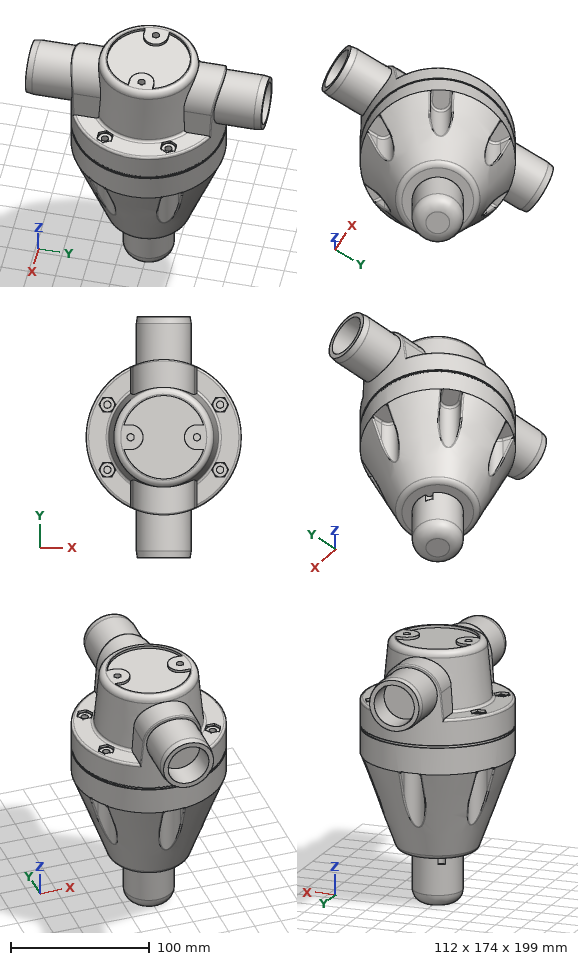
import cadquery as cq
import math

TOP_Z = 199
PORT_Z = 171.7
FLANGE_TOP_Z = 153.8
GROOVE_TOP_Z = 134.0
GROOVE_BOTTOM_Z = 132.1
CONE_TOP_Z = 112.0
CONE_BOTTOM_Z = 40.2

FLANGE_DIAMETER = 112.0
FLANGE_R = FLANGE_DIAMETER / 2
FLANGE_FILLET = 1.8
GROOVE_R = 55.1

TOWER_BASE_R = 39.6
TOWER_SHOULDER_R = 36.0
TOWER_RIM_FILLET = 5.0
TOWER_BASE_FILLET = 2
RECESS_R = 30.0
RECESS_DEPTH = 2
TAB_OFFSET = 23.9
TAB_R = 9.0
TAB_HOLE_R = 2.5
TAB_HOLE_DEPTH = 6

ARCH_R = 22.3
ARCH_DRAFT = math.radians(5)
ARCH_EDGE_FILLET = 1.0
PIPE_LENGTH = 174.0
PIPE_R = 19.9
PIPE_END_R = 19.1
PIPE_END_LENGTH = 5.0
BORE_R = 15.5
BORE_DEPTH = 19.9

SCREW_CIRCLE_R = 47.0
SCREW_ANGLES = (30, 150, 210, 330)
SCREW_HEX_FLATS = 10.5
SCREW_HEX_DEPTH = 2
SCREW_FLOOR_R = 5.2
SCREW_FLOOR_SLOPE = math.radians(30)
SCREW_HOLE_R = 2.5
SCREW_HOLE_DEPTH = 8

CONE_BOTTOM_R = 29.3
CONE_FILLET = 5.0
FLUTE_COUNT = 6
FLUTE_R = 7.8
FLUTE_FLOOR_R = 39.2
FLUTE_TOP_Z = 112.5
FLUTE_TOP_FILLET = 1.5
FLUTE_RIM_FILLET = 1.0

STEM_R = 18.5
STEM_FILLET = 10
KEYWAY_R = 2.8
KEYWAY_ANGLE = 120
KEYWAY_LENGTH = 7.0


def cylinder(radius, bottom_z, top_z):
    return cq.Workplane("XY", origin=(0, 0, bottom_z)).circle(radius).extrude(top_z - bottom_z)


def frustum(bottom_r, top_r, bottom_z, top_z):
    base = cq.Workplane("XY", origin=(0, 0, bottom_z)).circle(bottom_r)
    return base.workplane(offset=top_z - bottom_z).circle(top_r).loft(ruled=True)


def make_tower():
    rim_start_z = TOP_Z - TOWER_RIM_FILLET
    return (
        cq.Workplane("XZ")
        .moveTo(0, FLANGE_TOP_Z)
        .lineTo(TOWER_BASE_R + TOWER_BASE_FILLET, FLANGE_TOP_Z)
        .radiusArc((TOWER_BASE_R, FLANGE_TOP_Z + TOWER_BASE_FILLET), TOWER_BASE_FILLET)
        .lineTo(TOWER_SHOULDER_R, rim_start_z)
        .radiusArc((TOWER_SHOULDER_R - TOWER_RIM_FILLET, TOP_Z), -TOWER_RIM_FILLET)
        .lineTo(0, TOP_Z)
        .close()
        .revolve(360, (0, 0, 0), (0, 1, 0))
    )


def make_arches():
    """Drafted arch running across the flange, trimmed round to the flange outline."""
    tangent_x = ARCH_R * math.cos(ARCH_DRAFT)
    tangent_z = PORT_Z + ARCH_R * math.sin(ARCH_DRAFT)
    base_x = tangent_x + (tangent_z - GROOVE_TOP_Z) * math.tan(ARCH_DRAFT)
    arch = (
        cq.Workplane("XZ")
        .moveTo(-base_x, GROOVE_TOP_Z)
        .lineTo(-tangent_x, tangent_z)
        .threePointArc((0, PORT_Z + ARCH_R), (tangent_x, tangent_z))
        .lineTo(base_x, GROOVE_TOP_Z)
        .close()
        .extrude(FLANGE_R, both=True)
        .intersect(cylinder(FLANGE_R, GROOVE_TOP_Z, TOP_Z))
    )
    return arch.faces("<Y or >Y").edges("not #Z").fillet(ARCH_EDGE_FILLET)


def make_pipes():
    half_length = PIPE_LENGTH / 2
    return (
        cq.Workplane("XZ", origin=(0, 0, PORT_Z))
        .circle(PIPE_R)
        .extrude(half_length, both=True)
        .faces("<Y or >Y")
        .chamfer(PIPE_END_LENGTH, PIPE_R - PIPE_END_R)
    )


def make_bores():
    bore = cq.Workplane("XZ", origin=(0, -PIPE_LENGTH / 2, PORT_Z)).circle(BORE_R).extrude(-BORE_DEPTH)
    return bore.union(bore.mirror("XZ"))


def make_top_recess():
    """Recess that leaves two round-ended tabs standing level with the rim."""
    floor_z = TOP_Z - RECESS_DEPTH
    recess = cylinder(RECESS_R, floor_z, TOP_Z)
    for side in (-1, 1):
        tab = cylinder(TAB_R, floor_z, TOP_Z).translate((side * TAB_OFFSET, 0, 0))
        root = cq.Workplane("XY", origin=(side * (TAB_OFFSET + TAB_R), 0, floor_z))
        root = root.rect(2 * TAB_R, 2 * TAB_R).extrude(RECESS_DEPTH)
        hole = cylinder(TAB_HOLE_R, TOP_Z - TAB_HOLE_DEPTH, TOP_Z).translate((side * TAB_OFFSET, 0, 0))
        recess = recess.cut(tab).cut(root).union(hole)
    return recess


def make_screw_pockets():
    """Hexagonal pockets with a round flat floor and sloped corners, each over a screw hole."""
    hex_corners = SCREW_HEX_FLATS / math.cos(math.radians(30))
    floor_z = FLANGE_TOP_Z - SCREW_HEX_DEPTH
    clear_height = SCREW_HEX_DEPTH + TOWER_BASE_FILLET
    pocket = cq.Workplane("XY", origin=(0, 0, floor_z)).polygon(6, hex_corners).extrude(clear_height)
    flare_r = SCREW_FLOOR_R + clear_height / math.tan(SCREW_FLOOR_SLOPE)
    pocket = pocket.intersect(frustum(SCREW_FLOOR_R, flare_r, floor_z, floor_z + clear_height))
    pocket = pocket.union(cylinder(SCREW_HOLE_R, floor_z - SCREW_HOLE_DEPTH, floor_z))
    pockets = cq.Workplane("XY")
    for angle in SCREW_ANGLES:
        x = SCREW_CIRCLE_R * math.cos(math.radians(angle))
        y = SCREW_CIRCLE_R * math.sin(math.radians(angle))
        pockets = pockets.add(pocket.translate((x, y, 0)))
    return pockets.combine()


def make_cone(top_z):
    """Cone that keeps its slope up to the given height, with its foot rounded."""
    slope = (FLANGE_R - CONE_BOTTOM_R) / (CONE_TOP_Z - CONE_BOTTOM_Z)
    top_r = CONE_BOTTOM_R + slope * (top_z - CONE_BOTTOM_Z)
    cone = frustum(CONE_BOTTOM_R, top_r, CONE_BOTTOM_Z, top_z)
    return cone.faces("<Z").edges().fillet(CONE_FILLET)


def make_flute(top_z):
    """Upright channel with a round floor, along the +X side."""
    center_r = FLUTE_FLOOR_R + FLUTE_R
    outer_r = FLANGE_R + FLUTE_R
    return (
        cq.Workplane("XY", origin=(0, 0, CONE_BOTTOM_Z))
        .moveTo(outer_r, FLUTE_R)
        .lineTo(center_r, FLUTE_R)
        .threePointArc((FLUTE_FLOOR_R, 0), (center_r, -FLUTE_R))
        .lineTo(outer_r, -FLUTE_R)
        .close()
        .extrude(top_z - CONE_BOTTOM_Z)
    )


def around_cone(flute):
    """Copies of a shape on the +X side, spaced evenly from the +Y side onward."""
    flutes = cq.Workplane("XY")
    for index in range(FLUTE_COUNT):
        flutes = flutes.add(flute.rotate((0, 0, 0), (0, 0, 1), 90 + index * 360 / FLUTE_COUNT))
    return flutes.combine()


def make_bowl():
    """Lower flange and fluted cone; the flutes run out on the cone and end in rounded ceilings."""
    lower_flange = cylinder(FLANGE_R, CONE_TOP_Z, GROOVE_BOTTOM_Z)
    overlong_z = CONE_TOP_Z + FLUTE_R
    cone = make_cone(overlong_z).cut(around_cone(make_flute(overlong_z)))
    cone = cone.faces("%CONE").edges("not #Z").edges("not |Z").fillet(FLUTE_RIM_FILLET)
    cone = cone.intersect(cylinder(FLANGE_R, CONE_BOTTOM_Z, CONE_TOP_Z))

    plain = make_flute(FLUTE_TOP_Z)
    rounded = plain.faces(">Z").edges("not >X").fillet(FLUTE_TOP_FILLET)
    ceilings = around_cone(plain.cut(rounded)).intersect(make_cone(CONE_TOP_Z))
    return lower_flange.cut(around_cone(rounded)).union(cone).union(ceilings)


def make_stem():
    stem = cylinder(STEM_R, 0, CONE_BOTTOM_Z).faces("<Z").edges().fillet(STEM_FILLET)
    keyway = cylinder(KEYWAY_R, CONE_BOTTOM_Z - KEYWAY_LENGTH, CONE_BOTTOM_Z)
    keyway = keyway.translate((STEM_R, 0, 0)).rotate((0, 0, 0), (0, 0, 1), KEYWAY_ANGLE)
    return stem.cut(keyway)


upper_flange = cylinder(FLANGE_R, GROOVE_TOP_Z, FLANGE_TOP_Z).faces(">Z").edges().fillet(FLANGE_FILLET)
groove_core = cylinder(GROOVE_R, GROOVE_BOTTOM_Z, GROOVE_TOP_Z)

head = upper_flange.union(make_tower()).union(make_arches()).union(make_pipes())
head = head.cut(make_bores()).cut(make_top_recess()).cut(make_screw_pockets())
bowl = make_bowl().union(make_stem())

result = head.union(groove_core).union(bowl)